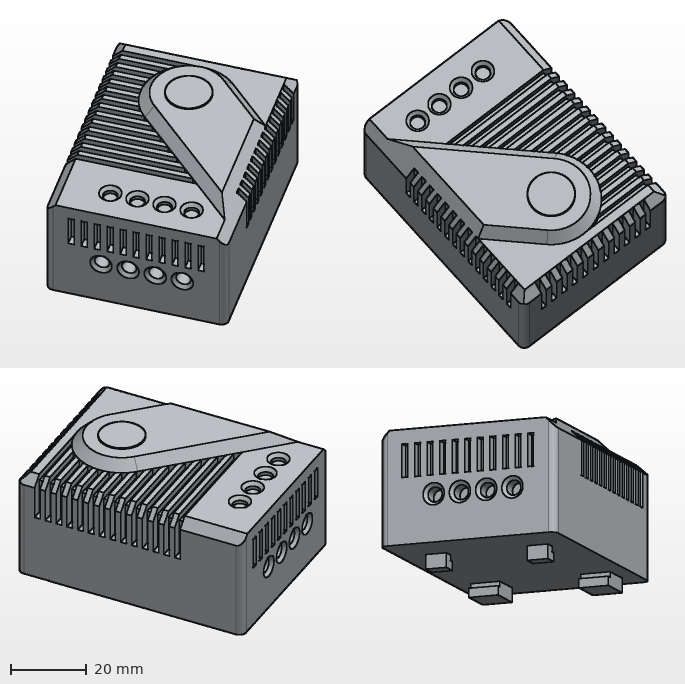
import cadquery as cq
import math

WIDTH = 50.0
LENGTH = 67.0
BODY_HEIGHT = 31.2
CORNER_RADIUS = 2.0
CHAMFER = 2.75

PANEL_HEIGHT = 2.9
PANEL_CENTER_Y = 15.0
PANEL_RADIUS = 13.25
FLANK_ANGLE = 45
PANEL_EDGE_X = WIDTH / 2 - CHAMFER

DISC_RADIUS = 6.35
DISC_HEIGHT = 0.3
DISC_BEVEL = 0.15

SLOT_WIDTH = 1.6
SLOT_DEPTH = CHAMFER
SIDE_SLOT_COUNT = 14
SIDE_SLOT_FIRST_Y = 27.4
SIDE_SLOT_SPAN = 41.55
SIDE_SLOT_DROP = 12.2
ROOF_GROOVE_DEPTH = 1.95
END_SLOT_COUNT = 11
END_SLOT_SPAN = 35.85
END_SLOT_DROP = 13.0
FRONT_SLOT_TOP_DROP = 3.95

HOLE_COUNT = 4
HOLE_SPAN = 22.45
HOLE_ROW_CENTER_X = 1.55
HOLE_DIAMETER = 4.0
SINK_DIAMETER = 6.0
SINK_DEPTH = (SINK_DIAMETER - HOLE_DIAMETER) / 2
ROOF_HOLE_DEPTH = 2.0
FRONT_HOLE_DEPTH = 5.0
ROOF_HOLE_Y = -24.9
FRONT_HOLE_DROP = 18.15

FOOT_HEIGHT = 3.95
LIP_GAP = 1.5
LIP_REACH = 1.3
FOOT_INNER_X = 11.5
REAR_FOOT_OUTER_X = 19.9
REAR_FOOT_BACK_Y = 26.65
REAR_FOOT_LENGTH = 10.05
FRONT_FOOT_OUTER_X = 17.4
FRONT_FOOT_FRONT_Y = -19.95
FRONT_FOOT_LENGTH = 4.3


def block(x0, x1, y0, y1, z0, z1):
    """Axis-aligned box between two opposite corners."""
    return cq.Workplane().box(x1 - x0, y1 - y0, z1 - z0, centered=False).translate((x0, y0, z0))


def row(count, span, center):
    """Evenly spaced positions about a center."""
    return [center + span * (i / (count - 1) - 0.5) for i in range(count)]


def make_housing():
    rounded = (
        cq.Workplane()
        .box(WIDTH, LENGTH, BODY_HEIGHT, centered=(True, True, False))
        .edges("|Z")
        .fillet(CORNER_RADIUS)
    )
    beveled = (
        cq.Workplane()
        .box(WIDTH, LENGTH, BODY_HEIGHT, centered=(True, True, False))
        .faces(">Z")
        .edges("<X or >X or >Y")
        .chamfer(CHAMFER)
    )
    return rounded.intersect(beveled)


def cut_side_slots(body):
    """Slots in both long sides; roof grooves lead from the -X slots to the panel."""
    last_y = SIDE_SLOT_FIRST_Y - SIDE_SLOT_SPAN
    inner_x = WIDTH / 2 - SLOT_DEPTH
    for y in row(SIDE_SLOT_COUNT, SIDE_SLOT_SPAN, (SIDE_SLOT_FIRST_Y + last_y) / 2):
        y0 = y - SLOT_WIDTH / 2
        y1 = y + SLOT_WIDTH / 2
        slot_bottom = BODY_HEIGHT - SIDE_SLOT_DROP
        body = body.cut(block(-WIDTH / 2, -inner_x, y0, y1, slot_bottom, BODY_HEIGHT))
        body = body.cut(block(inner_x, WIDTH / 2, y0, y1, slot_bottom, BODY_HEIGHT))
        groove_end = max(0, PANEL_CENTER_Y - PANEL_RADIUS - y)
        groove_floor = BODY_HEIGHT - ROOF_GROOVE_DEPTH
        body = body.cut(block(-inner_x, groove_end, y0, y1, groove_floor, BODY_HEIGHT))
    return body


def cut_end_slots(body):
    """Closed slots in the -Y end, and slots open through the chamfer in the +Y end."""
    slot_bottom = BODY_HEIGHT - END_SLOT_DROP
    front_slot_top = BODY_HEIGHT - FRONT_SLOT_TOP_DROP
    front_y = -LENGTH / 2
    back_y = LENGTH / 2
    for x in row(END_SLOT_COUNT, END_SLOT_SPAN, 0):
        x0 = x - SLOT_WIDTH / 2
        x1 = x + SLOT_WIDTH / 2
        body = body.cut(block(x0, x1, front_y, front_y + SLOT_DEPTH, slot_bottom, front_slot_top))
        body = body.cut(block(x0, x1, back_y - SLOT_DEPTH, back_y, slot_bottom, BODY_HEIGHT))
    return body


def make_hole(depth):
    """Cutter for a countersunk blind hole drilled down from the origin."""
    profile = [
        (0, 0),
        (SINK_DIAMETER / 2, 0),
        (HOLE_DIAMETER / 2, -SINK_DEPTH),
        (HOLE_DIAMETER / 2, -depth),
        (0, -depth),
    ]
    return cq.Workplane("XZ").polyline(profile).close().revolve(360, (0, 0), (0, 1))


def cut_holes(body):
    """One row of shallow holes in the roof and one row of deeper holes in the -Y end."""
    roof_hole = make_hole(ROOF_HOLE_DEPTH)
    front_hole = make_hole(FRONT_HOLE_DEPTH).rotate((0, 0, 0), (1, 0, 0), 90)
    for x in row(HOLE_COUNT, HOLE_SPAN, HOLE_ROW_CENTER_X):
        body = body.cut(roof_hole.translate((x, ROOF_HOLE_Y, BODY_HEIGHT)))
        body = body.cut(front_hole.translate((x, -LENGTH / 2, BODY_HEIGHT - FRONT_HOLE_DROP)))
    return body


def panel_outline(z):
    """Round end with two tangent 45 degree sides, closed by the +X edge."""
    tangent = PANEL_RADIUS * math.sqrt(0.5)
    corner_rise = 2 * tangent - PANEL_EDGE_X
    return (
        cq.Workplane(origin=(0, PANEL_CENTER_Y, z))
        .moveTo(PANEL_EDGE_X, corner_rise)
        .lineTo(tangent, tangent)
        .threePointArc((-tangent, tangent), (-tangent, -tangent))
        .lineTo(PANEL_EDGE_X, -PANEL_EDGE_X - 2 * tangent)
        .close()
    )


def make_panel():
    groove_plug = panel_outline(BODY_HEIGHT - ROOF_GROOVE_DEPTH).extrude(ROOF_GROOVE_DEPTH)
    raised = panel_outline(BODY_HEIGHT).extrude(PANEL_HEIGHT, taper=FLANK_ANGLE)
    disc = (
        cq.Workplane(origin=(0, PANEL_CENTER_Y, BODY_HEIGHT + PANEL_HEIGHT))
        .circle(DISC_RADIUS)
        .extrude(DISC_HEIGHT)
        .faces(">Z")
        .chamfer(DISC_BEVEL)
    )
    return groove_plug.union(raised).union(disc)


def make_feet():
    """Two pairs of hooks; the lips of front and rear feet face each other."""
    rear_lip_y = REAR_FOOT_BACK_Y - REAR_FOOT_LENGTH
    rear_stem_y = rear_lip_y + LIP_REACH
    front_lip_y = FRONT_FOOT_FRONT_Y + FRONT_FOOT_LENGTH
    front_stem_y = front_lip_y - LIP_REACH
    rear_x = (FOOT_INNER_X, REAR_FOOT_OUTER_X)
    front_x = (FOOT_INNER_X, FRONT_FOOT_OUTER_X)

    rear = block(*rear_x, rear_lip_y, REAR_FOOT_BACK_Y, -FOOT_HEIGHT, 0)
    rear = rear.cut(block(*rear_x, rear_lip_y, rear_stem_y, -LIP_GAP, 0))
    front = block(*front_x, FRONT_FOOT_FRONT_Y, front_lip_y, -FOOT_HEIGHT, 0)
    front = front.cut(block(*front_x, front_stem_y, front_lip_y, -LIP_GAP, 0))
    pair = rear.union(front)
    return pair.union(pair.mirror("YZ"))


housing = cut_holes(cut_end_slots(cut_side_slots(make_housing())))
result = housing.union(make_panel()).union(make_feet())